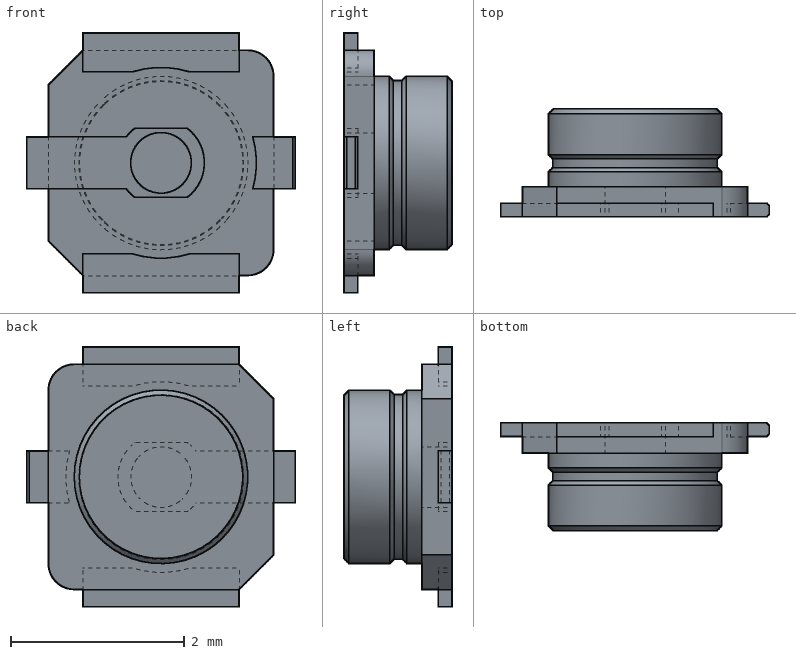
import cadquery as cq


length = 3.1
ground_span = 3.0
height = 1.25

base_side = 2.6
base_thickness = 0.35
corner_radius = 0.3

metal_thickness = 0.16
contact_width = 0.6
side_tab_length = 1.8
side_tab_depth = 0.45
relief_radius = 1.1
end_tab_chamfer = 0.03

eye_diameter = 1.0
eye_height = 0.8
pin_diameter = 0.7

barrel_radius = 1.0
rim_chamfer = 0.06
groove_depth = 0.05
groove_floor_start = 0.57
groove_floor_end = 0.67

corner_cut = (base_side - side_tab_length) / 2


def block(x_min, x_max, z_min, z_max, thickness):
    """Rectangular plate standing on the mounting face."""
    size = (x_max - x_min, thickness, z_max - z_min)
    return cq.Workplane("XY").box(*size, centered=False).translate((x_min, 0, z_min))


def disc(radius, thickness):
    """Round plate on the coaxial axis, standing on the mounting face."""
    return cq.Workplane("XZ").circle(radius).extrude(-thickness)


def make_pin():
    """Centre pin through the signal strip and the base."""
    return disc(pin_diameter / 2, base_thickness)


def make_signal_strip(pin):
    """Straight lead ending in a flat-sided eye around the pin."""
    lead = block(-length / 2, 0, -contact_width / 2, contact_width / 2, metal_thickness)
    flats = block(-eye_diameter, eye_diameter, -eye_height / 2, eye_height / 2, metal_thickness)
    eye = disc(eye_diameter / 2, metal_thickness).intersect(flats)
    return lead.union(eye).cut(pin)


def make_side_tab(side):
    """Long ground tab on the +Z (side = 1) or -Z (side = -1) edge."""
    outer = side * ground_span / 2
    inner = outer - side * side_tab_depth
    half_length = side_tab_length / 2
    tab = block(-half_length, half_length, min(inner, outer), max(inner, outer), metal_thickness)
    return tab.cut(disc(relief_radius, metal_thickness))


def make_end_tab():
    """Short ground tab opposite the lead, with a chamfered tip."""
    tab = block(0, length / 2, -contact_width / 2, contact_width / 2, metal_thickness)
    tab = tab.faces(">X").edges("|Z").chamfer(end_tab_chamfer)
    return tab.cut(disc(relief_radius, metal_thickness))


def make_base(embedded):
    """Square base: cut corners at -X, rounded corners at +X, recessed for the embedded bodies."""
    half = base_side / 2
    base = block(-half, half, -half, half, base_thickness)
    base = base.edges("|Y and <X").chamfer(corner_cut)
    base = base.edges("|Y and >X").fillet(corner_radius)
    for body in embedded:
        base = base.cut(body)
    return base


def make_barrel():
    """Round barrel on the base, with a snap groove and a chamfered rim."""
    groove_radius = barrel_radius - groove_depth
    profile = [
        (0, base_thickness),
        (barrel_radius, base_thickness),
        (barrel_radius, groove_floor_start - groove_depth),
        (groove_radius, groove_floor_start),
        (groove_radius, groove_floor_end),
        (barrel_radius, groove_floor_end + groove_depth),
        (barrel_radius, height - rim_chamfer),
        (barrel_radius - rim_chamfer, height),
        (0, height),
    ]
    return cq.Workplane("XY").polyline(profile).close().revolve(360, (0, 0, 0), (0, 1, 0))


pin = make_pin()
signal_strip = make_signal_strip(pin)
side_tabs = [make_side_tab(side) for side in (1, -1)]
end_tab = make_end_tab()
base = make_base([pin, signal_strip, end_tab, *side_tabs])
barrel = make_barrel()

bodies = [base, barrel, signal_strip, pin, end_tab, *side_tabs]
result = cq.Compound.makeCompound([body.solids().val() for body in bodies])